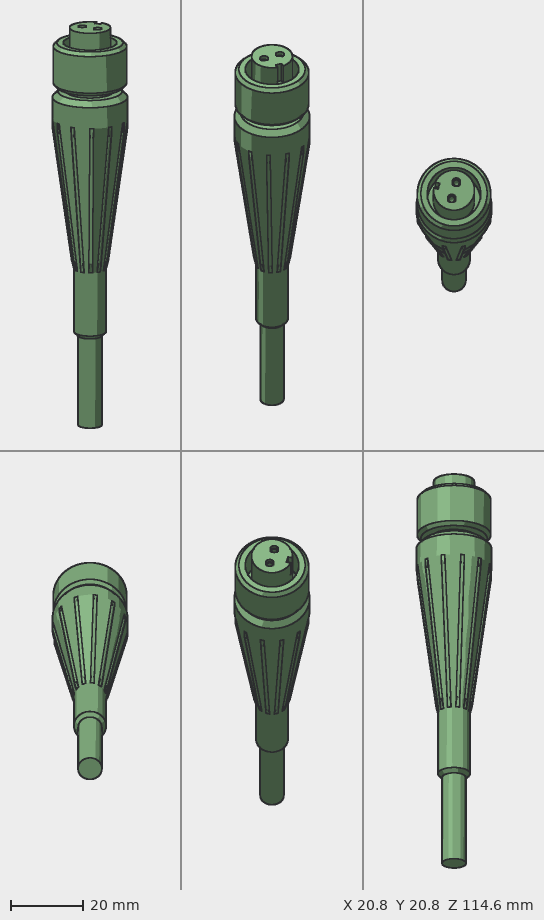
import cadquery as cq

total_height = 114.6

cable_diameter = 6.6
cable_top = 25.8
sleeve_diameter = 8.9
sleeve_chamfer = (sleeve_diameter - cable_diameter) / 2

collar_radius = 10.4
collar_bottom = 88.5
collar_top = 96.2
collar_chamfer = 1.6

taper_bottom = 45.2

rib_count = 12
rib_width = 1.0
rib_shoulder_z = 85.9
rib_tail_z = 47.9
rib_tail_radius = 5.2
rib_edge_fillet = 0.2

neck_diameter = 12.8

nut_diameter = 20.4
nut_bottom = 97.7
nut_top = 110.3
nut_chamfer = 1.0
socket_diameter = 14.8
socket_floor = 100.9

insert_diameter = 11.3
contact_pitch = 4.8
entry_diameter = 2.3
entry_depth = 1.1
contact_diameter = 1.7
contact_depth = 3.4
key_width = 1.7
key_inner_y = 4.4
key_depth = 5.7

ring_section_diameter = (socket_diameter - insert_diameter) / 2
ring_center_radius = (socket_diameter + insert_diameter) / 4


def cylinder(diameter, bottom, top):
    return cq.Workplane("XY").workplane(offset=bottom).circle(diameter / 2).extrude(top - bottom)


def make_sleeve():
    sleeve = cylinder(sleeve_diameter, cable_top, taper_bottom)
    return sleeve.faces("<Z").chamfer(sleeve_chamfer)


def make_grip():
    """Tapered strain relief and collar as one turned body."""
    profile = [
        (0, taper_bottom),
        (sleeve_diameter / 2, taper_bottom),
        (collar_radius, collar_bottom),
        (collar_radius, collar_top - collar_chamfer),
        (collar_radius - collar_chamfer, collar_top),
        (0, collar_top),
    ]
    return cq.Workplane("XZ").polyline(profile).close().revolve(360, (0, 0), (0, 1))


def make_rib():
    """One rib on the +X side, reaching in to the axis, with its two long outer edges rounded."""
    profile = [
        (0, taper_bottom),
        (sleeve_diameter / 2, taper_bottom),
        (rib_tail_radius, rib_tail_z),
        (collar_radius, rib_shoulder_z),
        (collar_radius, collar_bottom),
        (0, collar_bottom),
    ]
    rib = cq.Workplane("XZ").polyline(profile).close().extrude(rib_width / 2, both=True)
    middle_x = (rib_tail_radius + collar_radius) / 2
    middle_z = (rib_tail_z + rib_shoulder_z) / 2
    for side in (-1, 1):
        long_edge = cq.selectors.NearestToPointSelector((middle_x, side * rib_width / 2, middle_z))
        rib = rib.edges(long_edge).fillet(rib_edge_fillet)
    return rib


def make_nut():
    nut = cylinder(nut_diameter, nut_bottom, nut_top).faces("<Z or >Z").chamfer(nut_chamfer)
    return nut.cut(cylinder(socket_diameter, socket_floor, nut_top))


def make_sealing_ring():
    return (
        cq.Workplane("XZ")
        .center(ring_center_radius, socket_floor)
        .circle(ring_section_diameter / 2)
        .revolve(360, (-ring_center_radius, 0), (-ring_center_radius, 1))
    )


def make_contact_hole(x):
    """Stepped contact hole with a rounded bottom."""
    bottom = total_height - contact_depth
    entry = cylinder(entry_diameter, total_height - entry_depth, total_height)
    bore = cylinder(contact_diameter, bottom, total_height)
    rounded_end = cq.Workplane("XY").sphere(contact_diameter / 2).translate((0, 0, bottom))
    return entry.union(bore).union(rounded_end).translate((x, 0, 0))


def make_insert():
    insert = cylinder(insert_diameter, socket_floor, total_height)
    key_slot = cq.Workplane("XY").box(key_width, insert_diameter, key_depth, centered=(True, False, False))
    insert = insert.cut(key_slot.translate((0, key_inner_y, total_height - key_depth)))
    for side in (-1, 1):
        insert = insert.cut(make_contact_hole(side * contact_pitch / 2))
    return insert


grip = make_grip()
for index in range(rib_count):
    grip = grip.union(make_rib().rotate((0, 0, 0), (0, 0, 1), index * 360 / rib_count))

cable = cylinder(cable_diameter, 0, cable_top)
neck = cylinder(neck_diameter, collar_top, nut_bottom)

result = cable.union(make_sleeve()).union(grip).union(neck)
result = result.union(make_nut()).union(make_sealing_ring()).union(make_insert()).solids()